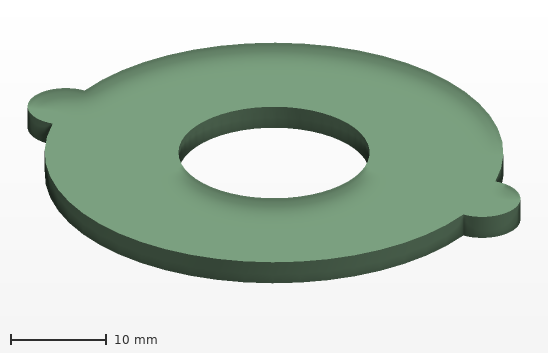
import cadquery as cq

disc_diameter = 48.0
bore_diameter = 20.0
thickness = 2.5
ear_diameter = 8.0

ear_center_x = disc_diameter / 2


def make_disc():
    """Flat round plate resting on the XY plane."""
    return cq.Workplane("XY").circle(disc_diameter / 2).extrude(thickness)


def make_ear(center_x):
    """Round grip ear, as thick as the disc, centred on the X axis."""
    return cq.Workplane("XY").center(center_x, 0).circle(ear_diameter / 2).extrude(thickness)


def make_bore():
    """Round tool for the central through hole."""
    return cq.Workplane("XY").circle(bore_diameter / 2).extrude(thickness)


result = make_disc()
for side in (-1, 1):
    result = result.union(make_ear(side * ear_center_x))
result = result.cut(make_bore())